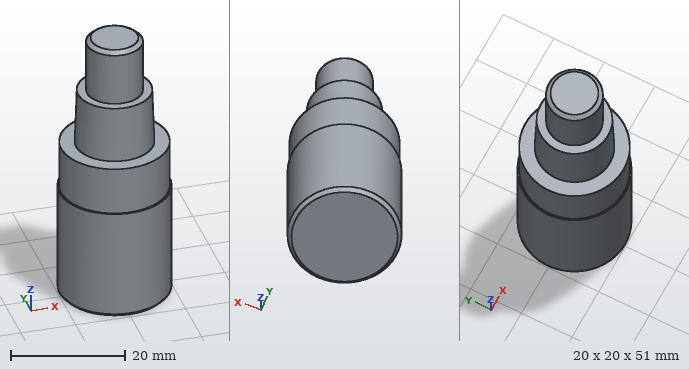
import cadquery as cq

sleeve_edge_height = 21.0
sleeve_top_height = 30.0
collar_top_height = 40.5
total_height = 51.0

sleeve_diameter = 20.0
neck_diameter = 19.4
base_chamfer = 0.7

collar_bottom_diameter = 13.95
collar_top_diameter = 13.25
tip_diameter = 10.0
tip_chamfer_width = 0.8
tip_chamfer_height = 0.7


def cylinder(diameter, bottom, top):
    """Upright cylinder on the Z axis between two heights."""
    return cq.Workplane("XY").workplane(offset=bottom).circle(diameter / 2).extrude(top - bottom)


def make_sleeve():
    """Stepped cylinder with a chamfered base edge."""
    barrel = cylinder(sleeve_diameter, 0, sleeve_edge_height).faces("<Z").chamfer(base_chamfer)
    neck = cylinder(neck_diameter, sleeve_edge_height, sleeve_top_height)
    return barrel.union(neck)


def make_plunger():
    """Tapered collar standing on the sleeve, with a chamfered tip above it."""
    collar = (
        cq.Workplane("XY")
        .workplane(offset=sleeve_top_height)
        .circle(collar_bottom_diameter / 2)
        .workplane(offset=collar_top_height - sleeve_top_height)
        .circle(collar_top_diameter / 2)
        .loft(ruled=True)
    )
    tip = cylinder(tip_diameter, collar_top_height, total_height)
    tip = tip.faces(">Z").edges().chamfer(tip_chamfer_height, tip_chamfer_width)
    return collar.union(tip)


sleeve = make_sleeve()
plunger = make_plunger()

result = cq.Compound.makeCompound([sleeve.val(), plunger.val()])